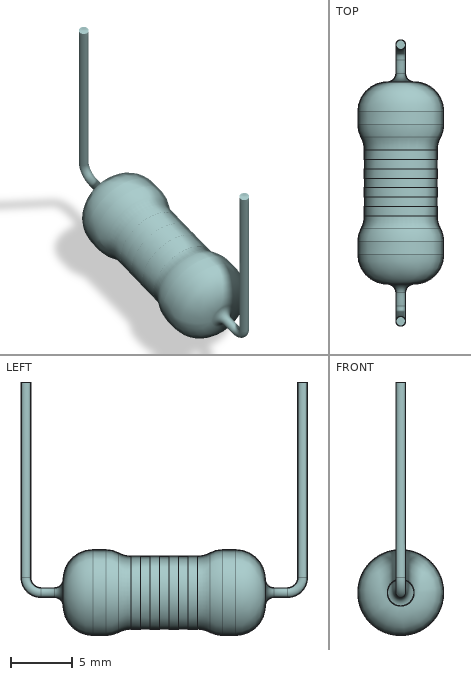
import cadquery as cq
import math

overall_length = 23.3
lead_top = 17.1
lead_radius = 0.4
bend_radius = 1.23

cap_radius = 3.5
cap_corner_radius = 2.42
body_half_length = 8.22
cap_band_width = 1.05
end_fillet = 0.7

waist_diameter = 5.95
band_diameter = 5.96
waist_radius = waist_diameter / 2
band_radius = band_diameter / 2
band_count = 4
band_width = 0.77

stripe_count = 2 * band_count - 1
waist_half_length = stripe_count * band_width / 2
corner_start = body_half_length - cap_corner_radius
flare_end = corner_start - cap_band_width
lead_y = overall_length / 2 - lead_radius


def make_waist_length(start_y, length, radius):
    """Cylinder along the body axis, running towards +Y from start_y."""
    return cq.Workplane("XZ", origin=(0, start_y, 0)).circle(radius).extrude(-length)


def make_end_cap():
    """Revolve the +Y end of the body, from the waist out to the lead."""
    overlap_start = waist_half_length - band_width
    flare_middle_y = (waist_half_length + flare_end) / 2
    flare_middle_radius = (waist_radius + cap_radius) / 2
    corner_offset = cap_corner_radius * math.sqrt(0.5)
    fillet_offset = end_fillet * (1 - math.sqrt(0.5))
    profile = (
        cq.Workplane("XY")
        .moveTo(0, overlap_start)
        .lineTo(waist_radius, overlap_start)
        .lineTo(waist_radius, waist_half_length)
        .tangentArcPoint((flare_middle_radius, flare_middle_y), relative=False)
        .tangentArcPoint((cap_radius, flare_end), relative=False)
        .lineTo(cap_radius, corner_start)
        .threePointArc(
            (cap_radius - cap_corner_radius + corner_offset, corner_start + corner_offset),
            (cap_radius - cap_corner_radius, body_half_length),
        )
        .lineTo(lead_radius + end_fillet, body_half_length)
        .threePointArc(
            (lead_radius + fillet_offset, body_half_length + fillet_offset),
            (lead_radius, body_half_length + end_fillet),
        )
        .lineTo(0, body_half_length + end_fillet)
        .close()
    )
    return profile.revolve(360, (0, 0), (0, 1))


def make_lead():
    """Bent wire on the +Y end, starting inside the body."""
    bend_start = lead_y - bend_radius
    bend_offset = bend_radius * math.sqrt(0.5)
    path = (
        cq.Workplane("YZ")
        .moveTo(corner_start, 0)
        .lineTo(bend_start, 0)
        .threePointArc(
            (bend_start + bend_offset, bend_radius - bend_offset),
            (lead_y, bend_radius),
        )
        .lineTo(lead_y, lead_top)
    )
    return cq.Workplane("XZ", origin=(0, corner_start, 0)).circle(lead_radius).sweep(path)


end_with_lead = make_end_cap().union(make_lead())
waist = make_waist_length(-waist_half_length, 2 * waist_half_length, waist_radius)
result = waist.union(end_with_lead).union(end_with_lead.mirror("XZ"))

for index in range(band_count):
    band_start = -waist_half_length + 2 * index * band_width
    result = result.union(make_waist_length(band_start, band_width, band_radius))